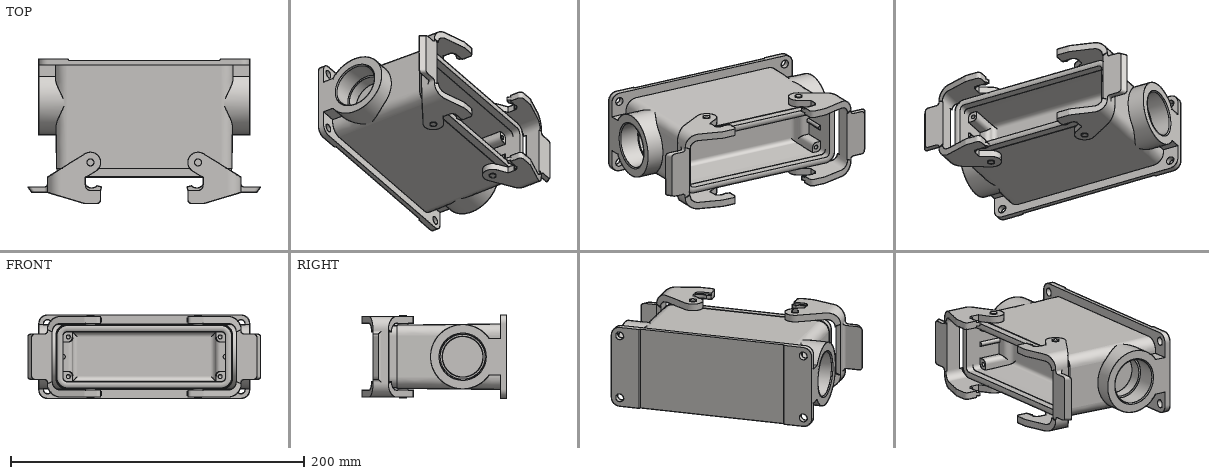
import cadquery as cq
import math


FLANGE_WIDTH = 144.0
FLANGE_HEIGHT = 57.0
FLANGE_THICKNESS = 4.3
FLANGE_CORNER = 6.0
SCREW_DIAMETER = 5.5
SCREW_X = 66.0
SCREW_Z = 22.4
RELIEF_DEPTH = 1.1
RELIEF_HALF_WIDTH = 52.1
RELIEF_END_SLOPE = 0.6

SHELL_BACK_X = 60.7
SHELL_BACK_Z = 22.4
SHELL_BACK_CORNER = 8.0
SHELL_TAPER = 0.8
SHOULDER_DEPTH = 74.9

RIM_INSET = 0.3
RIM_OUTER_CORNER = 7.2
RIM_WIDTH = 4.1
RIM_DEPTH = 80.5
CROWN_HEIGHT = 0.55
RIM_OUTER_X = SHELL_BACK_X - SHELL_TAPER - RIM_INSET
RIM_OUTER_Z = SHELL_BACK_Z - SHELL_TAPER - RIM_INSET

MOUTH_X = RIM_OUTER_X - RIM_WIDTH
MOUTH_Z = RIM_OUTER_Z - RIM_WIDTH
MOUTH_CORNER = RIM_OUTER_CORNER - RIM_WIDTH
POST_DEPTH = 68.8
POST_INNER_X = 49.1
POST_INNER_Z = 10.0
LEDGE_DEPTH = 53.2
FLOOR_DEPTH = 46.1
WALL_STEP = 0.2
WELL_DRAFT = 1.5
CAVITY_ROUND = 3.2
POST_HOLE_DIAMETER = 2.7
POST_HOLE_DEPTH = 9.5
POST_HOLE_TIP = 0.8
POST_HOLE_X = 51.8
POST_HOLE_Z = 13.5
KEY_RADIUS = 1.6
EDGE_SEARCH_MARGIN = 1.1

ENTRY_DIAMETER = 43.9
ENTRY_DEPTH = 30.0
ENTRY_END_X = FLANGE_WIDTH / 2
ENTRY_ROOT_X = 52.5
BRIDGE_HALF_HEIGHT = 12.4
BORE_DIAMETER = 30.7
BORE_LENGTH = 14.3
BORE_CHAMFER = 0.8
RECESS_DIAMETER = 28.0
RECESS_END_DIAMETER = 27.7
RECESS_LENGTH = 8.0

PIVOT_X = 36.7
PIVOT_DEPTH = 70.7
PIVOT_DIAMETER = 4.8
PIVOT_TOP_Z = 28.1
SPACER_DIAMETER = 7.0
PIVOT_ROOT_Z = 19.9

PLATE_INNER_Z = 22.7
PLATE_THICKNESS = 4.8
PLATE_OUTER_Z = PLATE_INNER_Z + PLATE_THICKNESS
WALL_OUTER_X = 66.1
WALL_THICKNESS = 3.3
WALL_INNER_X = WALL_OUTER_X - WALL_THICKNESS
BEND_OUTER = 9.0
BEND_INNER = 5.7
EYE_RADIUS = 7.0
WALL_BACK_DEPTH = 80.7
WALL_FRONT_DEPTH = 91.2
LEVER_FRONT_DEPTH = 98.9
HOOK_TIP_X = 29.7
HOOK_FLAT_X = 40.7
HOOK_CORNER = 2.7
SLOT_X = 40.2
SLOT_BACK_DEPTH = 81.0
SLOT_FRONT_DEPTH = 89.8
SLOT_CORNER = 3.5
TONGUE_THICKNESS = 2.5
TONGUE_TIP_X = 29.1
TONGUE_TIP_DEPTH = 87.4
TONGUE_CREST_X = 32.1
TONGUE_CREST_DEPTH = 86.6
TONGUE_DIP_X = 36.5
TONGUE_DIP_DEPTH = 88.0
TONGUE_ROOT_DEPTH = 85.8

TAB_TIP_X = 79.5
TAB_BEVEL = 2.7
TAB_BACK_DEPTH = 87.4
TAB_HALF_HEIGHT = 15.5
TAB_CORNER = 2.0
TAB_ROOT_ROUND = 1.9

SIDES = (-1, 1)


def rounded_rectangle(depth, half_x, half_z, corner):
    """Rounded-rectangle sketch parallel to the mounting face, ready to extrude forward."""
    sketch = cq.Sketch().rect(2 * half_x, 2 * half_z).vertices().fillet(corner)
    return cq.Workplane("XZ", origin=(0, -depth, 0)).placeSketch(sketch)


def block(half_x, half_z, back_depth, front_depth):
    """Centred box between two depths."""
    plane = cq.Workplane("XZ", origin=(0, -back_depth, 0))
    return plane.rect(2 * half_x, 2 * half_z).extrude(front_depth - back_depth)


def corner_points(x, z):
    return [(i * x, k * z) for i in SIDES for k in SIDES]



def make_flange():
    flange = rounded_rectangle(0, FLANGE_WIDTH / 2, FLANGE_HEIGHT / 2, FLANGE_CORNER)
    flange = flange.extrude(FLANGE_THICKNESS)
    holes = cq.Workplane("XZ").pushPoints(corner_points(SCREW_X, SCREW_Z))
    holes = holes.circle(SCREW_DIAMETER / 2).extrude(FLANGE_THICKNESS)
    inner = RELIEF_HALF_WIDTH - RELIEF_END_SLOPE
    relief = cq.Workplane("XY").polyline([
        (-RELIEF_HALF_WIDTH, 0),
        (RELIEF_HALF_WIDTH, 0),
        (inner, -RELIEF_DEPTH),
        (-inner, -RELIEF_DEPTH),
    ]).close().extrude(FLANGE_HEIGHT / 2, both=True)
    return flange.cut(holes).cut(relief)


def make_shell():
    length = SHOULDER_DEPTH - FLANGE_THICKNESS
    draft = math.degrees(math.atan(SHELL_TAPER / length))
    shell = rounded_rectangle(FLANGE_THICKNESS, SHELL_BACK_X, SHELL_BACK_Z, SHELL_BACK_CORNER)
    shell = shell.extrude(length, taper=draft)
    rim = rounded_rectangle(SHOULDER_DEPTH, RIM_OUTER_X, RIM_OUTER_Z, RIM_OUTER_CORNER)
    return shell.union(rim.extrude(RIM_DEPTH - SHOULDER_DEPTH))


def make_rim_crown():
    """Shallow arc section swept around the middle of the rim."""
    half = RIM_WIDTH / 2
    middle_x = RIM_OUTER_X - half
    middle_z = RIM_OUTER_Z - half
    path = rounded_rectangle(RIM_DEPTH, middle_x, middle_z, RIM_OUTER_CORNER - half)
    path = path.extrude(CROWN_HEIGHT).faces(">Y").wires()
    section = cq.Workplane("YZ").moveTo(-RIM_DEPTH, middle_z - half)
    crest = (-RIM_DEPTH - CROWN_HEIGHT, middle_z)
    section = section.threePointArc(crest, (-RIM_DEPTH, middle_z + half)).close()
    return section.sweep(path)


def make_post_hole(x, z):
    """Screw hole in a corner post, ending in a drill point."""
    radius = POST_HOLE_DIAMETER / 2
    bottom = cq.Vector(x, POST_HOLE_DEPTH - POST_DEPTH, z)
    straight = cq.Solid.makeCylinder(radius, POST_HOLE_DEPTH, bottom, cq.Vector(0, -1, 0))
    tip = cq.Solid.makeCone(radius, 0, POST_HOLE_TIP, bottom, cq.Vector(0, 1, 0))
    return cq.Workplane(straight).union(cq.Workplane(tip))


def make_well():
    """Drafted lower cavity between the posts, with the side ledges rounded over."""
    well = cq.Workplane("XZ", origin=(0, -POST_DEPTH, 0))
    well = well.rect(2 * POST_INNER_X, 2 * (MOUTH_Z - WALL_STEP))
    well = well.extrude(FLOOR_DEPTH - POST_DEPTH, taper=WELL_DRAFT)
    well = well.faces(">Y").edges().fillet(CAVITY_ROUND)
    well = well.union(block(MOUTH_X, POST_INNER_Z, LEDGE_DEPTH, POST_DEPTH))
    for side in SIDES:
        x = side * POST_INNER_X
        post_edges = cq.selectors.BoxSelector(
            (x - EDGE_SEARCH_MARGIN, -POST_DEPTH + EDGE_SEARCH_MARGIN, -POST_INNER_Z - EDGE_SEARCH_MARGIN),
            (x + EDGE_SEARCH_MARGIN, -LEDGE_DEPTH + EDGE_SEARCH_MARGIN, POST_INNER_Z + EDGE_SEARCH_MARGIN),
        )
        well = well.edges(post_edges).fillet(CAVITY_ROUND)
    return well


def make_cavity():
    mouth = rounded_rectangle(SHOULDER_DEPTH, MOUTH_X, MOUTH_Z, MOUTH_CORNER)
    mouth = mouth.extrude(RIM_DEPTH + CROWN_HEIGHT - SHOULDER_DEPTH)
    throat = rounded_rectangle(POST_DEPTH, MOUTH_X, MOUTH_Z - WALL_STEP, MOUTH_CORNER)
    throat = throat.extrude(SHOULDER_DEPTH - POST_DEPTH)
    key = cq.Workplane("XZ", origin=(0, -LEDGE_DEPTH, 0)).pushPoints([(i * MOUTH_X, 0) for i in SIDES])
    key = key.circle(KEY_RADIUS).extrude(POST_DEPTH - LEDGE_DEPTH)
    cavity = mouth.union(throat).union(make_well().cut(key))
    for x, z in corner_points(POST_HOLE_X, POST_HOLE_Z):
        cavity = cavity.union(make_post_hole(x, z))
    return cavity


def make_entry():
    """Cable entry collar on the +X end, bridged to the flange."""
    length = ENTRY_END_X - ENTRY_ROOT_X
    root = cq.Workplane("YZ", origin=(ENTRY_ROOT_X, -ENTRY_DEPTH, 0))
    collar = root.circle(ENTRY_DIAMETER / 2).extrude(length)
    bridge = root.center(ENTRY_DEPTH / 2, 0).rect(ENTRY_DEPTH, 2 * BRIDGE_HALF_HEIGHT).extrude(length)
    return collar.union(bridge)


def make_entry_bore():
    """Blind stepped bore of the +X entry, turned about its axis."""
    bore = BORE_DIAMETER / 2
    step_x = ENTRY_END_X - BORE_LENGTH
    floor_x = step_x - RECESS_LENGTH
    profile = cq.Workplane("XY", origin=(0, -ENTRY_DEPTH, 0)).polyline([
        (floor_x, 0),
        (floor_x, RECESS_END_DIAMETER / 2),
        (step_x, RECESS_DIAMETER / 2),
        (step_x, bore),
        (ENTRY_END_X - BORE_CHAMFER, bore),
        (ENTRY_END_X, bore + BORE_CHAMFER),
        (ENTRY_END_X, 0),
    ]).close()
    return profile.revolve(360, (0, 0, 0), (1, 0, 0))


def make_pivot(x, side):
    """Pivot pin with its spacer on the upper (+1) or lower (-1) face of the shell."""
    root = cq.Workplane("XY", origin=(x, -PIVOT_DEPTH, side * PIVOT_ROOT_Z))
    spacer = root.circle(SPACER_DIAMETER / 2).extrude(side * (PLATE_INNER_Z - PIVOT_ROOT_Z))
    pin = root.circle(PIVOT_DIAMETER / 2).extrude(side * (PIVOT_TOP_Z - PIVOT_ROOT_Z))
    return spacer.union(pin)


def make_housing():
    entry = make_entry()
    bore = make_entry_bore()
    housing = make_flange().union(make_shell()).union(make_rim_crown())
    housing = housing.union(entry).union(entry.mirror("YZ"))
    for x, side in corner_points(PIVOT_X, 1):
        housing = housing.union(make_pivot(x, side))
    return housing.cut(make_cavity()).cut(bore).cut(bore.mirror("YZ"))



def eye_tangent(x, depth, turn):
    """Point where a line from (x, depth) touches the round eye; turn picks the side."""
    dx = x - PIVOT_X
    dy = PIVOT_DEPTH - depth
    angle = math.atan2(dy, dx) + turn * math.acos(EYE_RADIUS / math.hypot(dx, dy))
    return (PIVOT_X + EYE_RADIUS * math.cos(angle), -PIVOT_DEPTH + EYE_RADIUS * math.sin(angle))


def make_strap():
    """U-shaped strap: two plates joined by the rounded end wall."""
    inner_end = HOOK_TIP_X - EYE_RADIUS

    def u_block(wall_x, half_z, bend):
        width = wall_x - inner_end
        plane = cq.Workplane("XZ").center(inner_end + width / 2, 0)
        return plane.rect(width, 2 * half_z).extrude(LEVER_FRONT_DEPTH).edges("|Y and >X").fillet(bend)

    outer = u_block(WALL_OUTER_X, PLATE_OUTER_Z, BEND_OUTER)
    return outer.cut(u_block(WALL_INNER_X, PLATE_INNER_Z, BEND_INNER))


def make_lever_outline():
    """Side outline of the plates: eye, sloped back, hook and slot."""
    back_touch = eye_tangent(WALL_OUTER_X, WALL_BACK_DEPTH, 1)
    slot_touch = eye_tangent(SLOT_X, SLOT_BACK_DEPTH, -1)
    diagonal = EYE_RADIUS * math.sqrt(0.5)
    eye_middle = (PIVOT_X - diagonal, -PIVOT_DEPTH + diagonal)
    outline = (
        cq.Workplane("XY")
        .moveTo(WALL_OUTER_X, -WALL_BACK_DEPTH)
        .lineTo(WALL_OUTER_X, -WALL_FRONT_DEPTH)
        .lineTo(HOOK_FLAT_X, -LEVER_FRONT_DEPTH)
        .lineTo(HOOK_TIP_X + HOOK_CORNER, -LEVER_FRONT_DEPTH)
        .radiusArc((HOOK_TIP_X, HOOK_CORNER - LEVER_FRONT_DEPTH), HOOK_CORNER)
        .lineTo(HOOK_TIP_X, -SLOT_FRONT_DEPTH)
        .lineTo(SLOT_X - SLOT_CORNER, -SLOT_FRONT_DEPTH)
        .radiusArc((SLOT_X, SLOT_CORNER - SLOT_FRONT_DEPTH), -SLOT_CORNER)
        .lineTo(SLOT_X, -SLOT_BACK_DEPTH)
        .lineTo(*slot_touch)
        .threePointArc(eye_middle, back_touch)
        .close()
    )
    return outline.extrude(PLATE_OUTER_Z, both=True)


def make_wall_trim():
    """Space behind and in front of the flat end wall, cut so that the wall has straight edges."""
    outer_z = PLATE_OUTER_Z - BEND_OUTER
    inner_z = PLATE_INNER_Z - BEND_INNER
    outline = [
        (WALL_INNER_X, -inner_z),
        (WALL_OUTER_X, -outer_z),
        (WALL_OUTER_X, outer_z),
        (WALL_INNER_X, inner_z),
    ]
    behind = cq.Workplane("XZ").polyline(outline).close().extrude(WALL_BACK_DEPTH)
    front = cq.Workplane("XZ", origin=(0, -WALL_FRONT_DEPTH, 0)).polyline(outline).close()
    return behind.union(front.extrude(LEVER_FRONT_DEPTH - WALL_FRONT_DEPTH))


def make_tongue():
    """Thin wavy tongue standing on the hook, halfway through the plate thickness."""
    bottom_z = PLATE_INNER_Z + (PLATE_THICKNESS - TONGUE_THICKNESS) / 2
    seat = -SLOT_FRONT_DEPTH
    outline = (
        cq.Workplane("XY", origin=(0, 0, bottom_z))
        .moveTo(HOOK_TIP_X, seat)
        .lineTo(TONGUE_TIP_X, -TONGUE_TIP_DEPTH)
        .lineTo(TONGUE_CREST_X, -TONGUE_CREST_DEPTH)
        .spline(
            [(TONGUE_DIP_X, -TONGUE_DIP_DEPTH), (SLOT_X, -TONGUE_ROOT_DEPTH)],
            includeCurrent=True,
        )
        .lineTo(SLOT_X, SLOT_CORNER + seat)
        .radiusArc((SLOT_X - SLOT_CORNER, seat), SLOT_CORNER)
        .close()
    )
    return outline.extrude(TONGUE_THICKNESS)


def make_tab():
    """Finger tab with rounded outer corners, flared root and bevelled tip."""
    root_z = TAB_HALF_HEIGHT + TAB_ROOT_ROUND
    flare_x = WALL_OUTER_X + TAB_ROOT_ROUND
    bevel_x = TAB_TIP_X - TAB_BEVEL
    face = (
        cq.Workplane("XZ")
        .moveTo(WALL_INNER_X, -root_z)
        .lineTo(WALL_OUTER_X, -root_z)
        .radiusArc((flare_x, -TAB_HALF_HEIGHT), TAB_ROOT_ROUND)
        .lineTo(TAB_TIP_X, -TAB_HALF_HEIGHT)
        .lineTo(TAB_TIP_X, TAB_HALF_HEIGHT)
        .lineTo(flare_x, TAB_HALF_HEIGHT)
        .radiusArc((WALL_OUTER_X, root_z), TAB_ROOT_ROUND)
        .lineTo(WALL_INNER_X, root_z)
        .close()
        .extrude(LEVER_FRONT_DEPTH)
    )
    section = (
        cq.Workplane("XY")
        .moveTo(WALL_INNER_X, -WALL_FRONT_DEPTH)
        .lineTo(bevel_x, -WALL_FRONT_DEPTH)
        .lineTo(TAB_TIP_X, -TAB_BACK_DEPTH)
        .lineTo(flare_x, -TAB_BACK_DEPTH)
        .radiusArc((WALL_OUTER_X, TAB_ROOT_ROUND - TAB_BACK_DEPTH), TAB_ROOT_ROUND)
        .lineTo(WALL_INNER_X, TAB_ROOT_ROUND - TAB_BACK_DEPTH)
        .close()
        .extrude(PLATE_OUTER_Z, both=True)
    )
    bevel_corners = cq.selectors.BoxSelector(
        (bevel_x, -WALL_FRONT_DEPTH, -root_z),
        (TAB_TIP_X, -TAB_BACK_DEPTH, root_z),
    )
    return face.intersect(section).edges("not |Z").edges(bevel_corners).fillet(TAB_CORNER)


def make_lever():
    tongue = make_tongue()
    lever = make_strap().intersect(make_lever_outline()).cut(make_wall_trim()).union(make_tab())
    lever = lever.union(tongue).union(tongue.mirror("XY"))
    pivot_hole = cq.Workplane("XY").center(PIVOT_X, -PIVOT_DEPTH).circle(PIVOT_DIAMETER / 2)
    return lever.cut(pivot_hole.extrude(PLATE_OUTER_Z, both=True))


housing = make_housing().solids()
right_lever = make_lever().solids()
levers = [right_lever, right_lever.mirror("YZ")]

result = cq.Compound.makeCompound([housing.val(), *[lever.val() for lever in levers]])